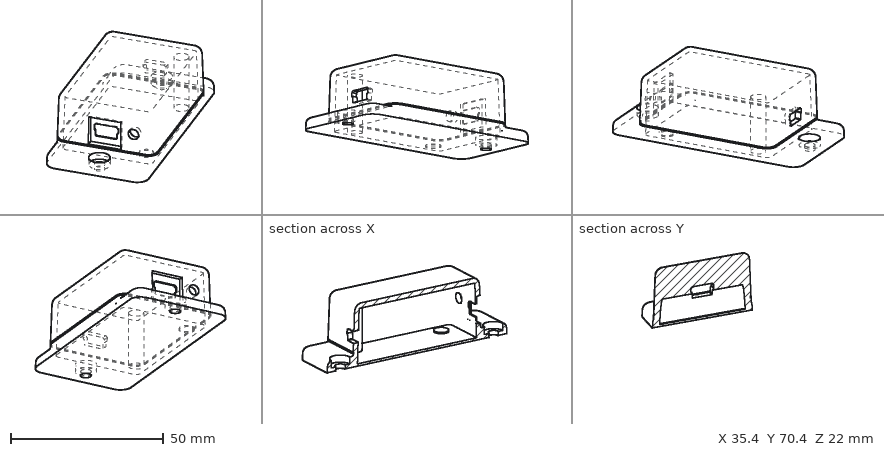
import cadquery as cq
import math

flange_length = 70.4
base_width = 35.4
height = 22.0
draft = 2.0

flange_height = 4.0
flange_corner = 4.0
flange_edge_round = 2.0
hole_spacing = 60.0
hole_diameter = 3.5
counterbore_diameter = 7.05
counterbore_depth = 2.45

box_length = 50.4
box_corner = 3.6
box_edge_round = 2.95
root_round = 0.5

seam_bottom = 4.7
seam_width = 0.4
seam_depth = 0.2

wall = 2.0
floor_height = 1.0
ceiling_height = height - wall

recess_width = 11.4
recess_height = 10.0
recess_middle = 10.5
recess_depth = 1.4
recess_taper = 10.0
slot_top = 12.7
slot_bottom = 8.1
slot_top_width = 8.45
slot_bottom_width = 7.5
slot_shoulder_top = 10.55
slot_shoulder_bottom = 10.0
slot_top_chamfer = 0.7
slot_bottom_chamfer = 0.35
slot_taper = 0.3

light_x = 10.0
light_z = 11.8
light_diameter = 3.6

post_x = 11.55
post_y = 17.0
post_diameter = 5.0
front_post_top = 1.4


def inset(level):
    """Sideways shift of a drafted wall at a level above the bottom."""
    return level * math.tan(math.radians(draft))


def drafted_block(width, length, corner, bottom, top):
    """Rounded block whose walls lean in; the sizes hold at level zero."""
    shift = inset(bottom)
    outline = cq.Sketch().rect(width - 2 * shift, length - 2 * shift)
    outline = outline.vertices().fillet(corner - shift)
    return (
        cq.Workplane("XY", origin=(0, 0, bottom))
        .placeSketch(outline)
        .extrude(top - bottom, taper=draft)
    )


def make_flange():
    """Base plate with rounded corners and top edge."""
    flange = drafted_block(base_width, flange_length, flange_corner, 0, flange_height)
    return flange.faces(">Z").edges().fillet(flange_edge_round)


def make_box():
    """Raised box, standing flush with the long sides of the flange."""
    box = drafted_block(base_width, box_length, box_corner, 0, height)
    return box.faces(">Z").edges().fillet(box_edge_round)


def round_box_root(body):
    """Blend both box ends into the flange; the round runs on around the corners."""
    for end in (-1, 1):
        root = cq.selectors.NearestToPointSelector((0, end * box_length / 2, flange_height))
        body = body.edges(root).fillet(root_round)
    return body


def make_seam_groove():
    """Ring cut around the box at the parting line."""
    seam_top = seam_bottom + seam_width
    outer = cq.Workplane("XY", origin=(0, 0, seam_bottom)).rect(2 * base_width, 2 * box_length)
    core = drafted_block(
        base_width - 2 * seam_depth,
        box_length - 2 * seam_depth,
        box_corner - seam_depth,
        seam_bottom,
        seam_top,
    )
    return outer.extrude(seam_width).cut(core)


def make_cavity():
    """Closed hollow inside the box, less a short front post and a full-height back post."""
    cavity = drafted_block(
        base_width - 2 * wall,
        box_length - 2 * wall,
        box_corner - wall,
        floor_height,
        ceiling_height,
    )
    return cavity.cut(make_post(-post_y, front_post_top)).cut(make_post(post_y, ceiling_height))


def make_post(y, top):
    """Round post at the right side of the box."""
    return cq.Workplane("XY", origin=(post_x, y, 0)).circle(post_diameter / 2).extrude(top)


def make_mounting_holes():
    """Counterbored screw hole in each flange end."""
    centers = [(0, -hole_spacing / 2), (0, hole_spacing / 2)]
    through = cq.Workplane("XY").pushPoints(centers).circle(hole_diameter / 2).extrude(flange_height)
    seat = cq.Workplane("XY", origin=(0, 0, flange_height - counterbore_depth))
    seat = seat.pushPoints(centers).circle(counterbore_diameter / 2).extrude(counterbore_depth)
    return through.union(seat)


def make_recess():
    """Rectangular recess sunk into the front wall around the connector slot."""
    depth = inset(recess_middle) + recess_depth
    rim = cq.Workplane("XZ", origin=(0, -box_length / 2, recess_middle))
    return rim.rect(recess_width, recess_height).extrude(-depth, taper=recess_taper)


def make_connector_slot():
    """Connector-shaped opening through both end walls, narrowing toward the back."""
    top = slot_top_width / 2
    bottom = slot_bottom_width / 2
    right_side = [
        (bottom - slot_bottom_chamfer, slot_bottom),
        (bottom, slot_bottom + slot_bottom_chamfer),
        (bottom, slot_shoulder_bottom),
        (top, slot_shoulder_top),
        (top, slot_top - slot_top_chamfer),
        (top - slot_top_chamfer, slot_top),
    ]
    left_side = [(-x, z) for x, z in reversed(right_side)]
    outline = cq.Workplane("XZ", origin=(0, -box_length / 2, 0)).polyline(right_side + left_side).close()
    return outline.extrude(-box_length, taper=slot_taper)


def make_light_hole():
    """Round hole through the front wall, opening into the cavity."""
    front = cq.Workplane("XZ", origin=(light_x, 0, light_z)).circle(light_diameter / 2)
    return front.extrude(box_length / 2)


result = round_box_root(make_flange().union(make_box()))
result = (
    result.cut(make_seam_groove())
    .cut(make_cavity())
    .cut(make_mounting_holes())
    .cut(make_recess())
    .cut(make_connector_slot())
    .cut(make_light_hole())
)